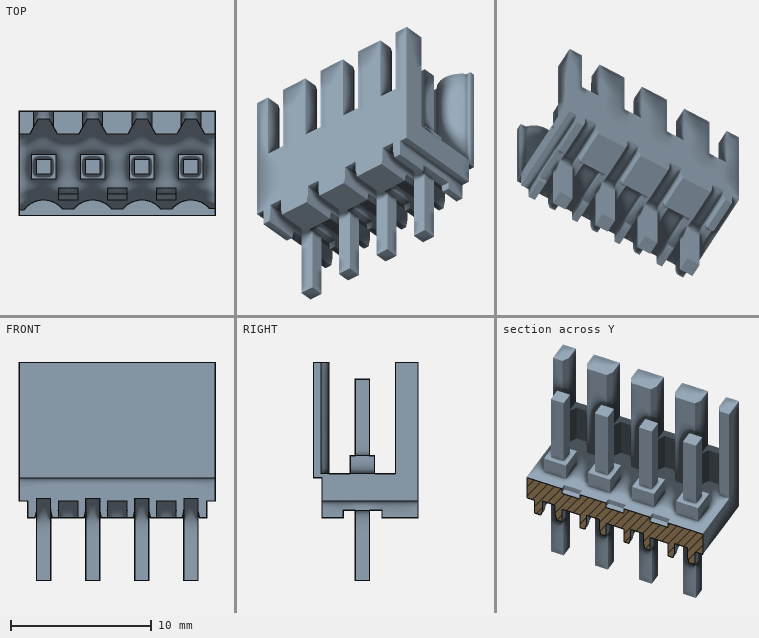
import cadquery as cq


pin_count = 4
pin_pitch = 3.5
pin_width = 1.03
pin_bottom = -4.46
pin_top = 9.89

length = pin_count * pin_pitch
half_length = length / 2
rear_y = 3.97
base_front_y = -2.9
shroud_front_y = -3.48
shroud_bottom = 2.86
floor_z = 3.15
top_z = 11.09

collar_width = 1.75
collar_top = 4.43

bump_height = 1.12
bump_radius = 1.74
left_land_thickness = 0.42
middle_land_thickness = 0.48
right_land_thickness = 0.53

rear_wall_inner_y = 2.35
groove_bottom_y = 3.42
groove_mouth_half_width = 0.98
groove_bottom_half_width = 0.39
rear_slot_width = 1.43
rear_slot_bottom = 6.06

foot_height = 1.2
end_step = 0.6
channel_front_y = -1.35
channel_rear_y = 1.38
channel_height = 0.55
notch_width = 0.98
notch_mouth_width = 1.21
notch_height = 1.37
relief_width = 1.4

pocket_front_y = -2.35
pocket_rear_y = -1.51
pocket_ramp_end_y = (pocket_front_y + pocket_rear_y) / 2
pocket_depth = pocket_ramp_end_y - pocket_front_y

pin_positions = [(i - (pin_count - 1) / 2) * pin_pitch for i in range(pin_count)]
gap_positions = [x + pin_pitch / 2 for x in pin_positions[:-1]]


def block(x_range, y_range, z_range):
    """Box spanning the given (low, high) ranges."""
    size = [high - low for low, high in (x_range, y_range, z_range)]
    corner = (x_range[0], y_range[0], z_range[0])
    return cq.Workplane("XY").box(*size, centered=False).translate(corner)


def centered_range(middle, width):
    return (middle - width / 2, middle + width / 2)


full_length = (-half_length, half_length)


def make_base():
    """Floor slab with a square collar round each pin."""
    base = block(full_length, (base_front_y, rear_y), (0, floor_z))
    for x in pin_positions:
        across = centered_range(x, collar_width)
        base = base.union(block(across, centered_range(0, collar_width), (floor_z, collar_top)))
    return base


def make_front_wall():
    """Thin wall, overhanging the base, with a rounded bump in front of every pin."""
    wall = block(full_length, (shroud_front_y, base_front_y), (shroud_bottom, floor_z))
    wall_heights = (floor_z, top_z)
    lands = [
        (-half_length, pin_positions[0], left_land_thickness),
        (pin_positions[0], pin_positions[-1], middle_land_thickness),
        (pin_positions[-1], half_length, right_land_thickness),
    ]
    for start, end, thickness in lands:
        y_range = (shroud_front_y, shroud_front_y + thickness)
        wall = wall.union(block((start, end), y_range, wall_heights))
    bump_center_y = shroud_front_y + bump_height - bump_radius
    bumps = (
        cq.Workplane("XY", origin=(0, 0, floor_z))
        .pushPoints([(x, bump_center_y) for x in pin_positions])
        .circle(bump_radius)
        .extrude(top_z - floor_z)
    )
    bump_zone = block(full_length, (shroud_front_y, shroud_front_y + bump_height), wall_heights)
    return wall.union(bumps.intersect(bump_zone))


def make_rear_wall():
    """Row of posts joined low down by webs behind the tapered grooves."""
    wall = block(full_length, (rear_wall_inner_y, rear_y), (floor_z, top_z))
    for x in pin_positions:
        groove = (
            cq.Workplane("XY", origin=(x, 0, floor_z))
            .moveTo(-groove_mouth_half_width, rear_wall_inner_y)
            .lineTo(-groove_bottom_half_width, groove_bottom_y)
            .lineTo(groove_bottom_half_width, groove_bottom_y)
            .lineTo(groove_mouth_half_width, rear_wall_inner_y)
            .close()
            .extrude(top_z - floor_z)
        )
        across = centered_range(x, rear_slot_width)
        slot = block(across, (rear_wall_inner_y, rear_y), (rear_slot_bottom, top_z))
        wall = wall.cut(groove).cut(slot)
    return wall


def make_pin_notch(x):
    """Notch across the underside at a pin, flared below the channel roof."""
    half_width = notch_width / 2
    half_mouth = notch_mouth_width / 2
    return (
        cq.Workplane("XZ", origin=(x, rear_y, 0))
        .moveTo(-half_mouth, 0)
        .lineTo(-half_width, channel_height)
        .lineTo(-half_width, notch_height)
        .lineTo(half_width, notch_height)
        .lineTo(half_width, channel_height)
        .lineTo(half_mouth, 0)
        .close()
        .extrude(rear_y - base_front_y)
    )


def cut_underside(body):
    """Form the feet; the relief pockets open the front feet between the pins into the channel."""
    depth = (base_front_y, rear_y)
    body = body.cut(block((-half_length, end_step - half_length), depth, (0, foot_height)))
    body = body.cut(block((half_length - end_step, half_length), depth, (0, foot_height)))
    body = body.cut(block(full_length, (channel_front_y, channel_rear_y), (0, channel_height)))
    for x in pin_positions:
        body = body.cut(make_pin_notch(x))
    for x in gap_positions:
        across = centered_range(x, relief_width)
        body = body.cut(block(across, (base_front_y, channel_rear_y), (0, foot_height)))
    return body


def cut_floor_pockets(body):
    """Blind pockets in the floor between the pins."""
    pocket_bottom = floor_z - pocket_depth
    for x in gap_positions:
        pocket = (
            cq.Workplane("YZ", origin=(x - relief_width / 2, 0, 0))
            .moveTo(pocket_front_y, floor_z)
            .lineTo(pocket_ramp_end_y, pocket_bottom)
            .lineTo(pocket_rear_y, pocket_bottom)
            .lineTo(pocket_rear_y, floor_z)
            .close()
            .extrude(relief_width)
        )
        body = body.cut(pocket)
    return body


def make_pin(x):
    """Straight square pin."""
    section = centered_range(0, pin_width)
    return block(section, section, (pin_bottom, pin_top)).translate((x, 0, 0))


pins = [make_pin(x) for x in pin_positions]

housing = make_base().union(make_front_wall()).union(make_rear_wall())
housing = cut_floor_pockets(cut_underside(housing))
for pin in pins:
    housing = housing.cut(pin)

result = cq.Compound.makeCompound([housing.solids().val(), *[pin.val() for pin in pins]])